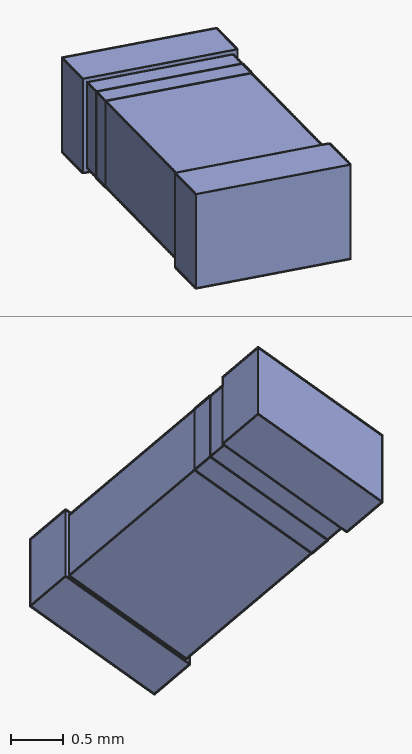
import cadquery as cq

length = 3.2
width = 1.6
height = 1.0

terminal_length = 0.5

terminal_step = 0.045
core_width = width - 2 * terminal_step
core_height = height - 2 * terminal_step

band_gap = 0.22
band_length = 0.22
band_thickness = 0.003

core_length = length - 2 * terminal_length
band_start = -core_length / 2 + band_gap


def block(start_x, size_x, size_y, size_z):
    """Box centred on the X axis that runs from start_x toward +X."""
    return cq.Workplane("XY").box(size_x, size_y, size_z).translate((start_x + size_x / 2, 0, 0))


def make_terminal(start_x):
    """Plain rectangular end terminal."""
    return block(start_x, terminal_length, width, height)


def make_core():
    """Ceramic core that fills the space between the terminals."""
    return block(-core_length / 2, core_length, core_width, core_height)


def make_band():
    """Thin rectangular ring lying on the core's four long faces."""
    outer = block(
        band_start,
        band_length,
        core_width + 2 * band_thickness,
        core_height + 2 * band_thickness,
    )
    opening = block(band_start, band_length, core_width, core_height)
    return outer.cut(opening)


core = make_core()
band = make_band()
terminals = [make_terminal(start_x) for start_x in (-length / 2, core_length / 2)]

result = cq.Compound.makeCompound(
    [core.val(), band.val(), *[terminal.val() for terminal in terminals]]
)